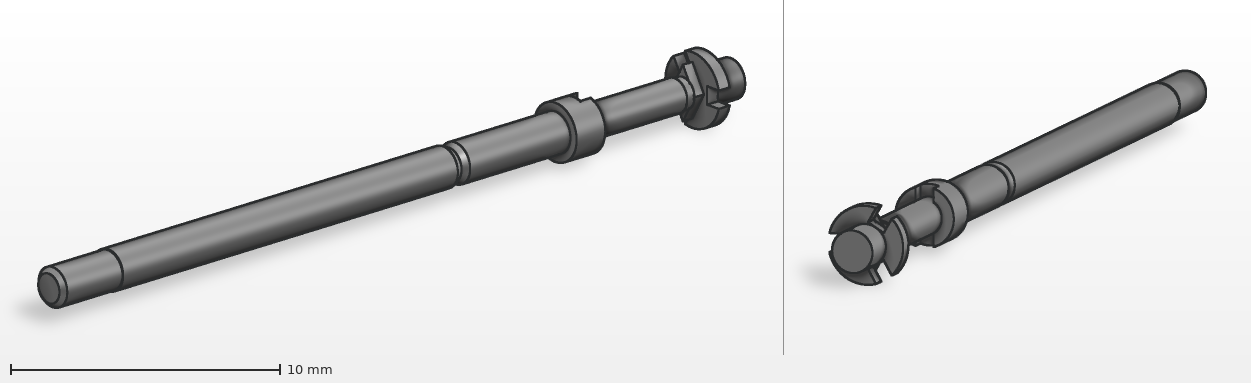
import cadquery as cq

LENGTH = 34.4
HEAD_END = LENGTH / 2
TAIL_END = -LENGTH / 2

HEAD_LENGTH = 1.38
FLANGE_THICKNESS = 0.55
HUB_LENGTH = 0.48
NECK_LENGTH = 0.4
SHAFT_LENGTH = 4.58
COLLAR_LENGTH = 1.45
TAIL_LENGTH = 3.0

HEAD_DIAMETER = 1.6
FLANGE_DIAMETER = 3.0
NECK_DIAMETER = 1.27
SHAFT_DIAMETER = 1.38
COLLAR_DIAMETER = 2.35
BODY_DIAMETER = 1.65
TAIL_DIAMETER = 1.58

TIP_CHAMFER = 0.2

FLANGE_SLOT_COUNT = 3
FLANGE_SLOT_WIDTH = 0.72

HUB_WIDTH = NECK_DIAMETER
HUB_HEIGHT = 2.25

NOTCH_WIDTH = 0.72
NOTCH_DEPTH = 0.5

GROOVE_CENTER = 3.0
GROOVE_WIDTH = 0.62
GROOVE_DEPTH = 0.15

FLANGE_BACK = HEAD_END - HEAD_LENGTH
FLANGE_FRONT = FLANGE_BACK - FLANGE_THICKNESS
HUB_FRONT = FLANGE_FRONT - HUB_LENGTH
NECK_FRONT = HUB_FRONT - NECK_LENGTH
COLLAR_BACK = NECK_FRONT - SHAFT_LENGTH
COLLAR_FRONT = COLLAR_BACK - COLLAR_LENGTH
TAIL_BACK = TAIL_END + TAIL_LENGTH


def section_plane(y):
    """Sketch plane across the pin at y; extruding runs towards the tail."""
    return cq.Workplane("XZ", origin=(0, y, 0))


def cylinder(diameter, back, front):
    return section_plane(back).circle(diameter / 2).extrude(back - front)


def slotted_flange():
    flange = cylinder(FLANGE_DIAMETER, FLANGE_BACK, FLANGE_FRONT)
    slot = (
        section_plane(FLANGE_BACK)
        .center((HEAD_DIAMETER + FLANGE_DIAMETER) / 2, 0)
        .rect(FLANGE_DIAMETER, FLANGE_SLOT_WIDTH)
        .extrude(FLANGE_THICKNESS)
    )
    for index in range(FLANGE_SLOT_COUNT):
        angle = index * 360 / FLANGE_SLOT_COUNT
        flange = flange.cut(slot.rotate((0, 0, 0), (0, 1, 0), angle))
    return flange


def rhombic_hub():
    half_width = HUB_WIDTH / 2
    half_height = HUB_HEIGHT / 2
    corners = [(-half_width, 0), (0, half_height), (half_width, 0), (0, -half_height)]
    return section_plane(FLANGE_FRONT).polyline(corners).close().extrude(HUB_LENGTH)


def notched_collar():
    """Collar whose notches go right across; the shaft fills the middle again."""
    collar = cylinder(COLLAR_DIAMETER, COLLAR_BACK, COLLAR_FRONT)
    notch = section_plane(COLLAR_BACK).rect(NOTCH_WIDTH, COLLAR_DIAMETER).extrude(NOTCH_DEPTH)
    return collar.cut(notch)


def grooved_body():
    body_radius = BODY_DIAMETER / 2
    body = cylinder(BODY_DIAMETER, COLLAR_FRONT, TAIL_BACK)
    groove = (
        cq.Workplane("XY")
        .moveTo(body_radius, GROOVE_CENTER - GROOVE_WIDTH / 2)
        .lineTo(body_radius - GROOVE_DEPTH, GROOVE_CENTER)
        .lineTo(body_radius, GROOVE_CENTER + GROOVE_WIDTH / 2)
        .close()
        .revolve(360, (0, 0, 0), (0, 1, 0))
    )
    return body.cut(groove)


head = cylinder(HEAD_DIAMETER, HEAD_END, FLANGE_FRONT)
neck = cylinder(NECK_DIAMETER, HUB_FRONT, NECK_FRONT)
shaft = cylinder(SHAFT_DIAMETER, NECK_FRONT, COLLAR_FRONT)
tail = cylinder(TAIL_DIAMETER, TAIL_BACK, TAIL_END).faces("<Y").chamfer(TIP_CHAMFER)

result = (
    head
    .union(slotted_flange())
    .union(rhombic_hub())
    .union(neck)
    .union(shaft)
    .union(notched_collar())
    .union(grooved_body())
    .union(tail)
)